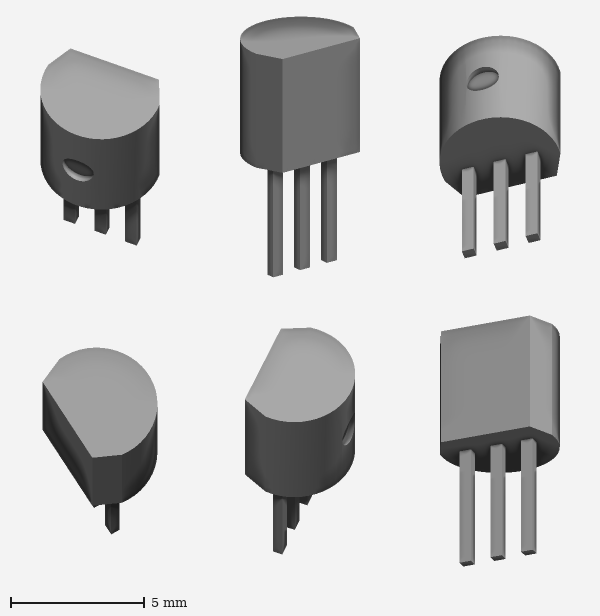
import cadquery as cq
import math

body_diameter = 4.58
body_radius = body_diameter / 2
body_height = 4.58
flat_y = 1.27
flat_half_width = 1.81
shoulder_y = 0.25

dimple_diameter = 1.28
dimple_floor_y = -2.02

lead_count = 3
lead_pitch = 1.26
lead_width = 0.47
lead_thickness = 0.37
overall_height = 9.18
lead_length = overall_height - body_height
lead_y = shoulder_y - lead_thickness / 2


def make_body():
    shoulder_x = math.sqrt(body_radius**2 - shoulder_y**2)
    blank = (
        cq.Workplane("XY")
        .moveTo(-flat_half_width, flat_y)
        .lineTo(-shoulder_x, shoulder_y)
        .threePointArc((0, -body_radius), (shoulder_x, shoulder_y))
        .lineTo(flat_half_width, flat_y)
        .close()
        .extrude(body_height)
    )
    dimple = (
        cq.Workplane("XZ", origin=(0, dimple_floor_y, body_height / 2))
        .circle(dimple_diameter / 2)
        .extrude(body_radius)
    )
    return blank.cut(dimple)


def make_lead(x):
    return (
        cq.Workplane("XY")
        .center(x, lead_y)
        .rect(lead_width, lead_thickness)
        .extrude(-lead_length)
    )


body = make_body()
leads = []
for index in range(lead_count):
    lead_x = (index - (lead_count - 1) / 2) * lead_pitch
    leads.append(make_lead(lead_x).val())

result = cq.Compound.makeCompound([body.val(), *leads])